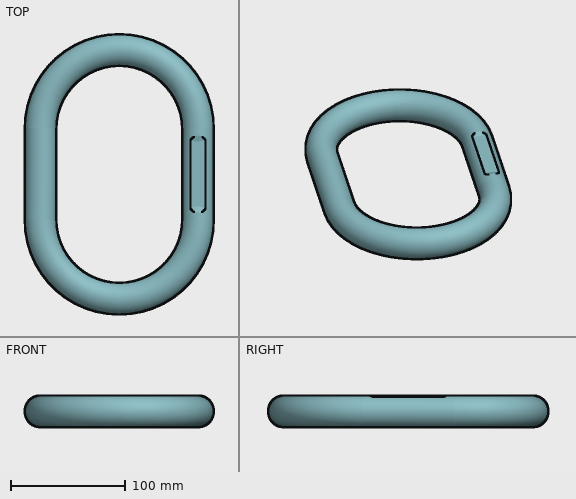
import cadquery as cq
import math

length = 246.0
width = 166.0
wire_diameter = 28.0

flat_width = 12.8
flat_floor_length = 57.0
flat_total_length = 67.5
end_base_radius = 12.8

wire_radius = wire_diameter / 2
bend_radius = (width - wire_diameter) / 2
straight_length = length - width
half_straight = straight_length / 2
floor_z = math.sqrt(wire_radius**2 - (flat_width / 2) ** 2)
flat_depth = wire_radius - floor_z
end_slope_run = (flat_total_length - flat_floor_length) / 2
end_top_radius = end_base_radius - end_slope_run
end_center_y = flat_floor_length / 2 + end_base_radius


def make_link():
    """Round wire swept along a closed oval centerline."""
    centerline = (
        cq.Workplane("XY")
        .moveTo(bend_radius, -half_straight)
        .lineTo(bend_radius, half_straight)
        .threePointArc((0, half_straight + bend_radius), (-bend_radius, half_straight))
        .lineTo(-bend_radius, -half_straight)
        .threePointArc((0, -half_straight - bend_radius), (bend_radius, -half_straight))
    )
    section = cq.Workplane("XZ", origin=(bend_radius, -half_straight, 0)).circle(wire_radius)
    return section.sweep(centerline)


def make_flat_cutter():
    """Block above the flat floor, with a convex cone removed at each end."""
    cutter = (
        cq.Workplane("XY", origin=(bend_radius, 0, floor_z))
        .box(wire_diameter, 2 * end_center_y, flat_depth, centered=(True, True, False))
    )
    for side in (-1, 1):
        cone = cq.Solid.makeCone(
            end_base_radius,
            end_top_radius,
            flat_depth,
            pnt=cq.Vector(bend_radius, side * end_center_y, floor_z),
            dir=cq.Vector(0, 0, 1),
        )
        cutter = cutter.cut(cone)
    return cutter


result = make_link().cut(make_flat_cutter())